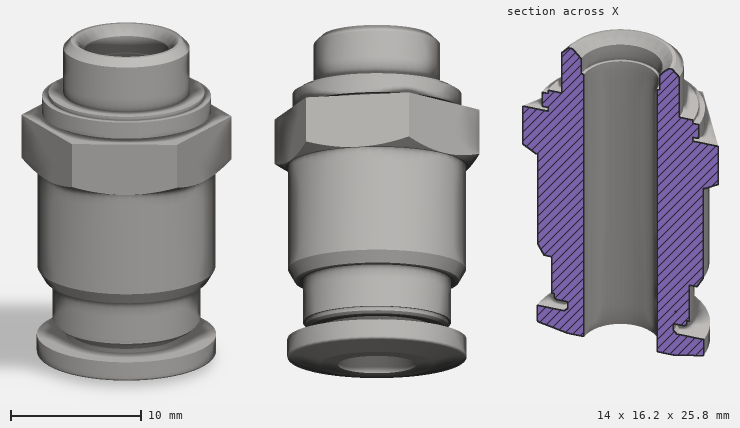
import cadquery as cq
import math


button_diameter = 13.8
button_face_diameter = 8.8
button_cone_height = 0.5
button_edge_radius = 0.2
button_top = 2.0
neck_diameter = 8.8
neck_chamfer = 0.25

collar_bottom = 2.83
collar_top = 6.6
collar_diameter = 11.4
collar_tip_diameter = 11.0
collar_tip_height = 0.5
collar_tip_chamfer = 0.2

body_diameter = 13.7
body_taper_height = 0.9
body_taper_angle = 30.0

hex_across_flats = 14.0
hex_bottom = 15.6
hex_height = 4.1
hex_chamfer_angle = 30.0
hex_half_side_angle = 180.0 / 6

seat_diameter = 12.0
seat_height = 1.9
seal_diameter = 13.0
seal_height = 1.3

total_height = 25.8
thread_diameter = 9.73
thread_chamfer = 0.58

through_diameter = 6.0
counterbore_diameter = 6.49
counterbore_depth = 2.1
countersink_diameter = 8.0
countersink_angle = 90.0

hex_top = hex_bottom + hex_height
seat_top = hex_top + seat_height


def cylinder(diameter, bottom, top):
    """Upright cylinder on the Z axis."""
    return cq.Workplane("XY").workplane(offset=bottom).circle(diameter / 2).extrude(top - bottom)


def cone(bottom_diameter, top_diameter, bottom, top):
    """Upright truncated cone on the Z axis."""
    base = cq.Vector(0, 0, bottom)
    return cq.Workplane(cq.Solid.makeCone(bottom_diameter / 2, top_diameter / 2, top - bottom, base))


def make_button():
    disc = cylinder(button_diameter, button_cone_height, button_top)
    face = cone(button_face_diameter, button_diameter, 0, button_cone_height)
    widest = cq.selectors.RadiusNthSelector(-1)
    button = disc.union(face).edges("%CIRCLE").edges(widest).edges("<Z").fillet(button_edge_radius)
    flare = cone(neck_diameter + 2 * neck_chamfer, neck_diameter, button_top, button_top + neck_chamfer)
    return button.union(flare).union(cylinder(neck_diameter, button_top, collar_bottom))


def make_collar():
    tip_top = collar_bottom + collar_tip_height
    tip = cylinder(collar_tip_diameter, collar_bottom, tip_top).faces("<Z").chamfer(collar_tip_chamfer)
    return tip.union(cylinder(collar_diameter, tip_top, collar_top))


def make_body():
    taper_top = collar_top + body_taper_height
    taper_inset = body_taper_height * math.tan(math.radians(body_taper_angle))
    taper = cone(body_diameter - 2 * taper_inset, body_diameter, collar_top, taper_top)
    return taper.union(cylinder(body_diameter, taper_top, hex_bottom))


def make_hexagon():
    across_corners = hex_across_flats / math.cos(math.radians(hex_half_side_angle))
    prism = (
        cq.Workplane("XY")
        .workplane(offset=hex_bottom)
        .polygon(6, across_corners)
        .extrude(hex_height)
        .rotate((0, 0, 0), (0, 0, 1), hex_half_side_angle)
    )
    cone_growth = 2 * hex_height / math.tan(math.radians(hex_chamfer_angle))
    envelope = cone(hex_across_flats, hex_across_flats + cone_growth, hex_bottom, hex_top)
    return prism.intersect(envelope)


def make_seat():
    seal_bottom = hex_top + (seat_height - seal_height) / 2
    seal = cylinder(seal_diameter, seal_bottom, seal_bottom + seal_height)
    return cylinder(seat_diameter, hex_top, seat_top).union(seal)


def make_thread():
    return cylinder(thread_diameter, seat_top, total_height).faces(">Z").chamfer(thread_chamfer)


def make_bore():
    through = cylinder(through_diameter, 0, total_height)
    counterbore = cylinder(counterbore_diameter, total_height - counterbore_depth, total_height)
    countersink_width = (countersink_diameter - counterbore_diameter) / 2
    countersink_depth = countersink_width / math.tan(math.radians(countersink_angle / 2))
    countersink_bottom = total_height - countersink_depth
    countersink = cone(counterbore_diameter, countersink_diameter, countersink_bottom, total_height)
    return through.union(counterbore).union(countersink)


fitting = make_button()
for section in (make_collar(), make_body(), make_hexagon(), make_seat(), make_thread()):
    fitting = fitting.union(section)

result = fitting.cut(make_bore())